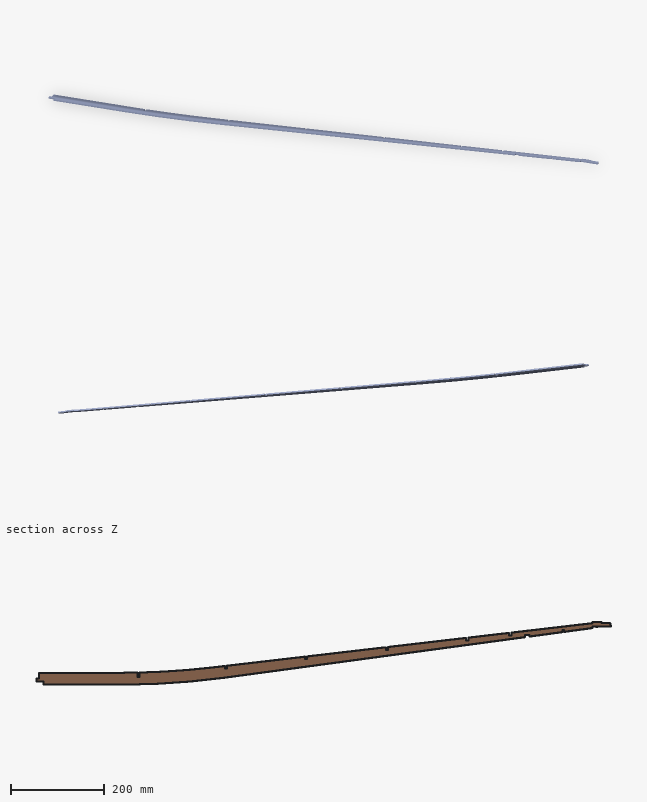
import cadquery as cq
import math

length = 1228.4
height = 135.0
thickness = 3.0

root_depth = 26.5
root_shoulder_x = 4.7
root_tongue_bottom = 7.2
root_tongue_top = 14.5
root_lap_length = 15.0

bend_start = 181.0
lower_bend_radius = 1650.0
upper_bend_radius = 1690.0

tip_block_start_x = 1188.0
tip_block_end_x = 1208.0
tip_top_step = 2.6
tip_bottom_start_x = 1199.0
tip_bottom_step = 1.4
tip_tongue_drop = 2.5
tip_end_width = 4.0
tip_end_rise = 0.5
tip_end_lean = 2.0

upper_edge_end = (tip_block_start_x, height - tip_top_step)
lower_edge_end = (tip_bottom_start_x, 122.4)

notch_width = 3.7
notch_depth = 5.7
root_notch_x = 218.5
root_notch_depth = 9.0
upper_notch_positions = [405.5, 576.5, 749.5, 921.0, 1012.5]
lower_slit_x = 1126.0
lower_slit_width = 3.0
lower_slit_depth = 4.0
wide_notch_width = 8.0
wide_notches = [(1049.0, 4.0), (1192.5, 2.5)]


class BentEdge:
    """A level edge that bends up along an arc, then runs straight to an end point."""

    def __init__(self, start_height, radius, end_point):
        self.start_height = start_height
        self.radius = radius
        run = end_point[0] - bend_start
        drop = start_height + radius - end_point[1]
        self.angle = math.atan2(run, drop) - math.acos(radius / math.hypot(run, drop))
        self.bend_middle = self.arc_point(self.angle / 2)
        self.bend_end = self.arc_point(self.angle)

    def arc_point(self, turn):
        x = bend_start + self.radius * math.sin(turn)
        y = self.start_height + self.radius * (1 - math.cos(turn))
        return (x, y)

    def height_at(self, x):
        if x <= bend_start:
            return self.start_height
        if x < self.bend_end[0]:
            return self.arc_point(math.asin((x - bend_start) / self.radius))[1]
        return self.bend_end[1] + (x - self.bend_end[0]) * math.tan(self.angle)


lower_edge = BentEdge(0.0, lower_bend_radius, lower_edge_end)
upper_edge = BentEdge(root_depth, upper_bend_radius, upper_edge_end)


def make_strip():
    """The plate outline, anticlockwise from the root's lower corner."""
    tip_bottom = lower_edge_end[1] + tip_bottom_step
    tongue_top = height - tip_tongue_drop
    return (
        cq.Workplane("XY")
        .moveTo(root_lap_length, 0)
        .lineTo(bend_start, 0)
        .threePointArc(lower_edge.bend_middle, lower_edge.bend_end)
        .lineTo(*lower_edge_end)
        .lineTo(tip_bottom_start_x, tip_bottom)
        .lineTo(length - tip_end_width, tip_bottom)
        .lineTo(length, tip_bottom + tip_end_rise)
        .lineTo(length - tip_end_lean, tongue_top)
        .lineTo(tip_block_end_x, tongue_top)
        .lineTo(tip_block_end_x, height)
        .lineTo(tip_block_start_x, height)
        .lineTo(*upper_edge_end)
        .lineTo(*upper_edge.bend_end)
        .threePointArc(upper_edge.bend_middle, (bend_start, root_depth))
        .lineTo(root_shoulder_x, root_depth)
        .lineTo(root_shoulder_x, root_tongue_top)
        .lineTo(0, root_tongue_top)
        .lineTo(0, root_tongue_bottom)
        .lineTo(root_lap_length, root_tongue_bottom)
        .close()
        .extrude(thickness)
    )


def make_notch(edge, x, width, depth):
    """A cutter centred on an edge, reaching the given depth into the strip."""
    return (
        cq.Workplane("XY")
        .center(x, edge.height_at(x))
        .rect(width, 2 * depth)
        .extrude(thickness)
    )


result = make_strip()
result = result.cut(make_notch(upper_edge, root_notch_x, notch_width, root_notch_depth))
for notch_x in upper_notch_positions:
    result = result.cut(make_notch(upper_edge, notch_x, notch_width, notch_depth))
result = result.cut(make_notch(lower_edge, lower_slit_x, lower_slit_width, lower_slit_depth))
for notch_x, wide_notch_depth in wide_notches:
    result = result.cut(make_notch(lower_edge, notch_x, wide_notch_width, wide_notch_depth))